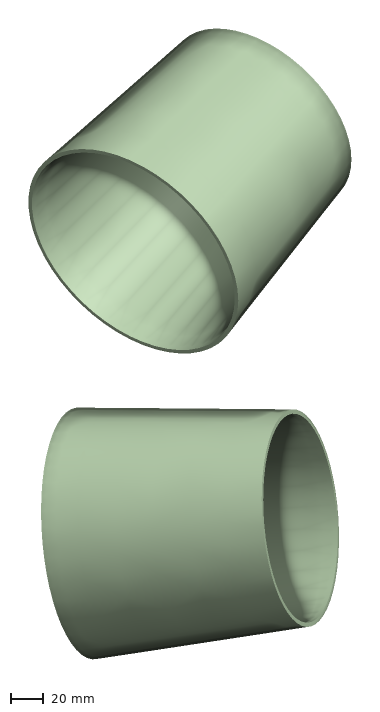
import cadquery as cq

length = 140.0
wide_diameter = 154.0
narrow_diameter = 133.0
wall = 2.6

wide_radius = wide_diameter / 2
narrow_radius = narrow_diameter / 2

wall_section = (
    cq.Workplane("XY")
    .moveTo(wide_radius - wall, 0)
    .lineTo(wide_radius, 0)
    .lineTo(narrow_radius, length)
    .lineTo(narrow_radius - wall, length)
    .close()
)

result = wall_section.revolve(360, (0, 0, 0), (0, 1, 0))